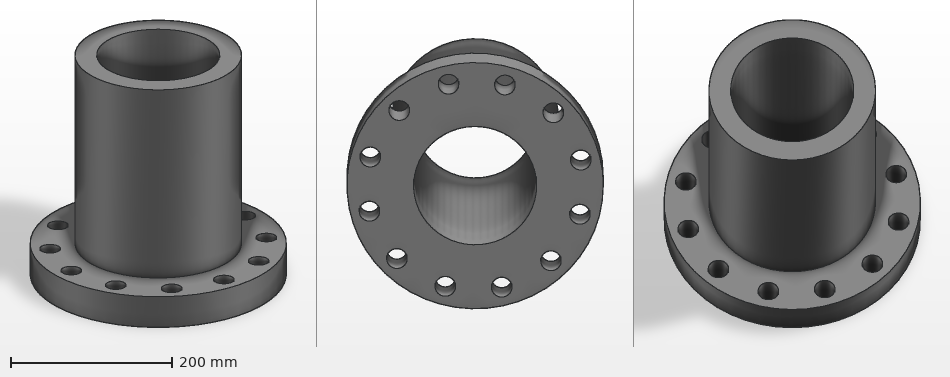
import cadquery as cq

flange_diameter = 317.5
flange_thickness = 42.0

overall_height = 298.5
pipe_diameter = 206.5
bore_diameter = 152.5

bolt_count = 12
bolt_circle_diameter = 270.0
bolt_hole_diameter = 25.5


def make_body():
    """Flange disc with the pipe rising from it."""
    flange = cq.Workplane("XY").circle(flange_diameter / 2).extrude(flange_thickness)
    pipe = cq.Workplane("XY").circle(pipe_diameter / 2).extrude(overall_height)
    return flange.union(pipe)


def make_bore():
    """Straight bore through the full height."""
    return cq.Workplane("XY").circle(bore_diameter / 2).extrude(overall_height)


def make_bolt_holes():
    """Ring of plain holes through the flange."""
    return (
        cq.Workplane("XY")
        .polarArray(bolt_circle_diameter / 2, 0, 360, bolt_count)
        .circle(bolt_hole_diameter / 2)
        .extrude(flange_thickness)
    )


result = make_body().cut(make_bore()).cut(make_bolt_holes())